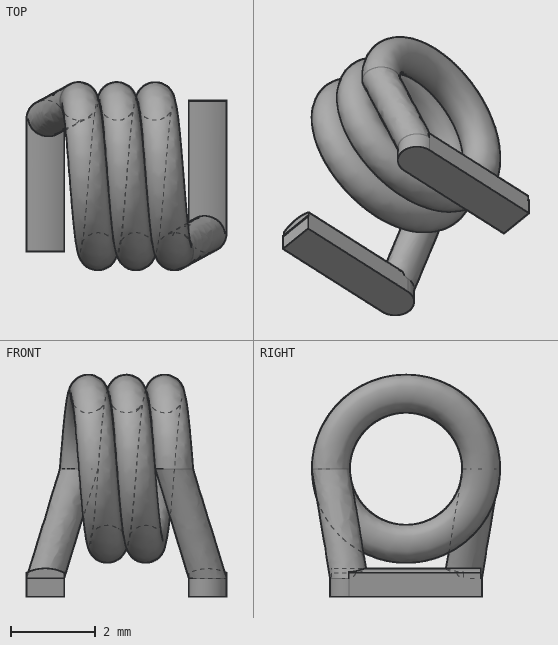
import cadquery as cq

wire_diameter = 0.9
coil_outer_diameter = 4.45
coil_pitch = 0.905
coil_turns = 2.5
total_width = 4.73
total_height = 5.25
foot_base_height = 0.44
foot_side_height = 0.565
foot_crest_height = 0.67
foot_round_center_y = 1.35
foot_end_y = 1.79
foot_step_depth = 0.02

wire_radius = wire_diameter / 2
coil_radius = coil_outer_diameter / 2 - wire_radius
coil_axis_z = total_height - coil_outer_diameter / 2
coil_length = coil_turns * coil_pitch
coil_start = (-coil_length / 2, coil_radius, coil_axis_z)
foot_center_x = total_width / 2 - wire_radius


def make_coil():
    """Helical wire about X, starting upward at +Y and ending downward at -Y."""
    helix = cq.Wire.makeHelix(coil_pitch, coil_length, coil_radius)
    path = helix.rotate(cq.Vector(0, 0, 0), cq.Vector(1, 1, 1), 120)
    path = path.translate(cq.Vector(-coil_length / 2, 0, coil_axis_z))
    return cq.Workplane("XY", origin=coil_start).circle(wire_radius).sweep(path, isFrenet=True)


def make_leg():
    """Sloping leg with circular horizontal sections, from foot to coil start."""
    foot_center = cq.Vector(-foot_center_x, foot_round_center_y, foot_base_height)
    up = cq.Vector(0, 0, 1)
    lower = cq.Wire.makeCircle(wire_radius, foot_center, up)
    upper = cq.Wire.makeCircle(wire_radius, cq.Vector(*coil_start), up)
    return cq.Workplane(obj=cq.Solid.makeLoft([lower, upper], True))


def make_foot():
    """Flat foot with a crowned top, a stepped end and a low half-round end below the leg."""
    left = -foot_center_x - wire_radius
    right = -foot_center_x + wire_radius
    bar = (
        cq.Workplane("XZ", origin=(0, foot_round_center_y, 0))
        .moveTo(left, 0)
        .lineTo(right, 0)
        .lineTo(right, foot_side_height)
        .threePointArc((-foot_center_x, foot_crest_height), (left, foot_side_height))
        .close()
        .extrude(foot_round_center_y + foot_end_y)
    )
    rounded_end = (
        cq.Workplane("XY", origin=(-foot_center_x, foot_round_center_y, 0))
        .circle(wire_radius)
        .extrude(foot_base_height)
    )
    step = (
        cq.Workplane("XY", origin=(-foot_center_x, -foot_end_y, foot_base_height))
        .rect(wire_diameter, 2 * foot_step_depth)
        .extrude(foot_crest_height - foot_base_height)
    )
    return bar.union(rounded_end).cut(step)


terminal = make_foot().union(make_leg())
opposite_terminal = terminal.rotate((0, 0, 0), (0, 0, 1), 180)

result = make_coil().union(terminal).union(opposite_terminal)